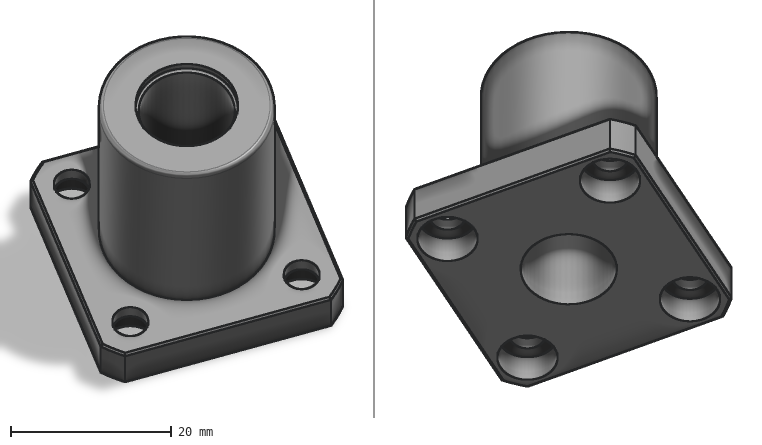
import cadquery as cq

corner_diameter = 42.0
flange_width = 32.0
flange_thickness = 6.0
flange_chamfer = 0.3

total_height = 32.0
sleeve_diameter = 22.0
sleeve_rim_radius = 0.6
bore_diameter = 12.0
lip_diameter = 12.8
lip_height = 0.92
groove_diameter = 13.6
groove_width = 0.35

hole_diameter = 4.5
hole_center_radius = 16.0
counterbore_diameter = 7.5
counterbore_depth = 4.1


def make_flange():
    square = (
        cq.Workplane("XY")
        .rect(flange_width, flange_width)
        .extrude(flange_thickness)
        .rotate((0, 0, 0), (0, 0, 1), 45)
    )
    disc = cq.Workplane("XY").circle(corner_diameter / 2).extrude(flange_thickness)
    return square.intersect(disc).faces("<Z or >Z").edges().chamfer(flange_chamfer)


def make_sleeve():
    sleeve = cq.Workplane("XY").circle(sleeve_diameter / 2).extrude(total_height)
    return sleeve.faces(">Z").edges().fillet(sleeve_rim_radius)


def make_bore():
    lip_bottom = total_height - lip_height
    groove_bottom = lip_bottom - groove_width
    bore = cq.Workplane("XY").circle(bore_diameter / 2).extrude(total_height)
    groove = cq.Workplane("XY", origin=(0, 0, groove_bottom)).circle(groove_diameter / 2).extrude(groove_width)
    mouth = cq.Workplane("XY", origin=(0, 0, lip_bottom)).circle(lip_diameter / 2).extrude(lip_height)
    return bore.union(groove).union(mouth)


def make_mounting_holes():
    centers = cq.Workplane("XY").polarArray(hole_center_radius, 0, 360, 4)
    holes = centers.circle(hole_diameter / 2).extrude(flange_thickness)
    counterbores = centers.circle(counterbore_diameter / 2).extrude(counterbore_depth)
    return holes.union(counterbores)


result = make_flange().union(make_sleeve()).cut(make_bore()).cut(make_mounting_holes())